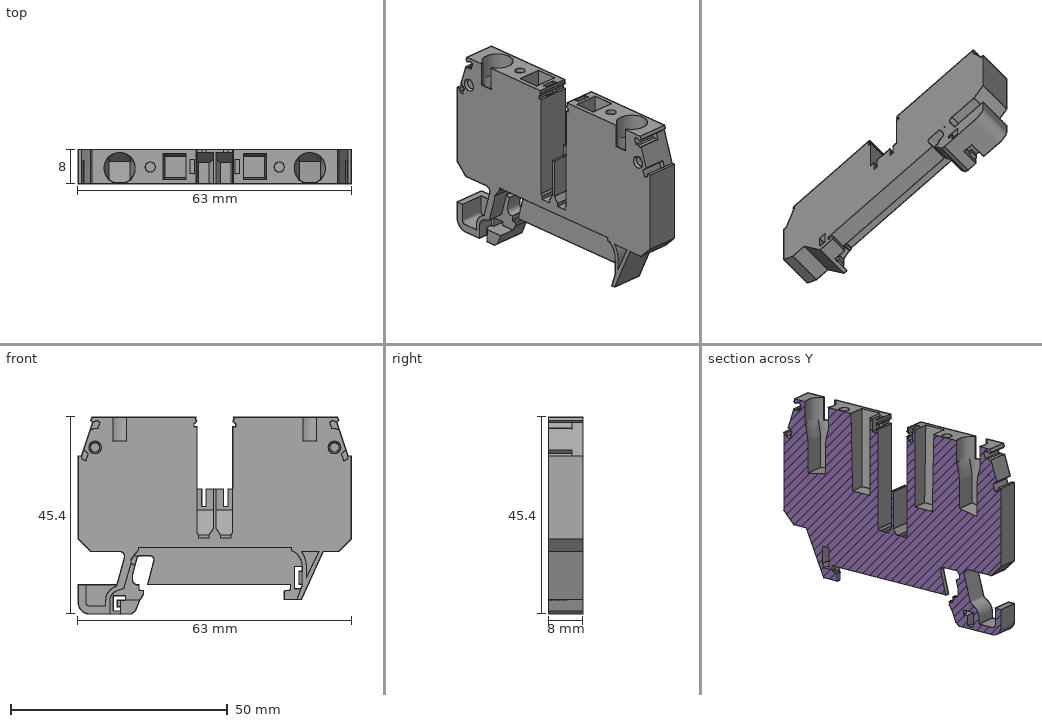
import cadquery as cq


LENGTH = 63.0
THICKNESS = 8.0
HEIGHT = 45.4
HALF = LENGTH / 2

HOUSING_BOTTOM = 14.4
RAIL_CEILING = 15.4
RAIL_HALF = 17.65
CORNER_CHAMFER = 2.9
SHOULDER_Z = 36.5
SHOULDER_X = 30.75
LIP_Z = 44.65
CEILING_STEP = 0.6

GAP_HALF = 4.1
GAP_FLOOR = 28.85
BACK_WALL = 0.7
SLIT_WIDTH = 0.95
SLIT_X = 2.5
SLIT_BOTTOM = 24.8

PARTITION_HALF = 0.3
POCKET_NECK_Z = 18.3
POCKET_FLOOR = 17.5
POCKET_INNER = 1.3
POCKET_OUTER = 3.8
POCKET_BACK = 5.0
SLOPE_TOP = 24.0

WIRE_X = 21.9
WIRE_Y = 3.65
WIRE_RADIUS = 3.6
WIRE_SHOULDER = 39.95
WIRE_WINDOW = 3.15
FUNNEL_BOTTOM = 35.9
FUNNEL_SIDE = 4.85
FUNNEL_FRONT = 0.4
FUNNEL_BACK = 5.15
WIRE_FLOOR = 29.0
WIRE_FLOOR_DROP = 0.9
SCREW_X = 14.85
SCREW_Y = 3.9
SCREW_DIAMETER = 2.3
SCREW_DEPTH = 1.1
TEST_TOP_X = (6.6, 11.9)
TEST_TOP_Y = (1.1, 7.0)
TEST_FLOOR_X = (6.6, 11.45)
TEST_FLOOR_Y = (1.5, 6.3)
TEST_DEPTH = 18.9
LABEL_X = (4.65, 5.75)
LABEL_Y = (2.4, 5.6)
LABEL_DEPTH = 3.15

LATCH_DEPTH = 5.4
DIMPLE_X = 27.6
DIMPLE_Z = 38.4
DIMPLE_RADIUS = 1.45
DIMPLE_FLOOR_RADIUS = 1.1
DIMPLE_DEPTH = 0.6

PLATE_Y = THICKNESS / 2
PLATE_BOTTOM = 6.8
FOOT_BACK_WALL = 1.9
FOOT_WALL = 1.75
FOOT_FLOOR = 1.9
FOOT_RADIUS = 2.7
FOOT_POCKET_RADIUS = 0.8
ARM_OUTER_X = -25.15
ARM_INNER_X = -24.2
ARM_UPRIGHT_TOP = 3.15
HOOK_BOTTOM = 3.35
RIGHT_ARM_X = 20.15
BLOCK_X = -21.75
BLOCK_TOP = 3.2
PLATE_SLOT_X = 18.4
PLATE_SLOT_Z = (5.85, 10.95)
FOOT_WINDOW_X = (-23.4, -20.6)
FOOT_WINDOW_Z = (0.75, 4.2)
RIGHT_WEDGE_Z = (6.85, 9.9)
LEFT_WEDGE_BOTTOM = 1.7
WEDGE_REACH = 0.75
WEDGE_Y = (0.1, 0.6, 2.25)


def start(x, z, y=0.0):
    """Begin an XZ outline on the plane at depth y."""
    return cq.Workplane("XZ", origin=(0, y, 0)).moveTo(x, z)


def polygon(points, y0=0.0, y1=THICKNESS):
    """Prism of a straight-sided XZ outline between depths y0 and y1."""
    return cq.Workplane("XZ", origin=(0, y0, 0)).polyline(points).close().extrude(y0 - y1)


def box(x0, x1, y0, y1, z0, z1):
    return cq.Workplane("XY").box(x1 - x0, y1 - y0, z1 - z0, centered=False).translate((x0, y0, z0))


def both_sides(shape):
    return shape.union(shape.mirror("YZ"))


def housing_half():
    """Right half of the full-thickness housing, tower included."""
    return polygon([
        (0, RAIL_CEILING), (RAIL_HALF, RAIL_CEILING),
        (RAIL_HALF, RAIL_CEILING - CEILING_STEP), (RAIL_HALF + 0.4, HOUSING_BOTTOM),
        (HALF - CORNER_CHAMFER, HOUSING_BOTTOM), (HALF, HOUSING_BOTTOM + CORNER_CHAMFER),
        (HALF, SHOULDER_Z), (SHOULDER_X, SHOULDER_Z),
        (28.15, 44.2), (28.6, LIP_Z), (28.3, HEIGHT),
        (4.35, HEIGHT), (4.35, 44.7), (GAP_HALF, 44.5),
        (4.8, 43.85), (4.8, 43.2), (GAP_HALF, 43.2),
        (GAP_HALF, GAP_FLOOR), (0, GAP_FLOOR),
    ])


def marker_pocket():
    """Pocket open to the front whose back slopes down to a narrow floor."""
    wall_y = THICKNESS - BACK_WALL
    upper = polygon([
        (PARTITION_HALF, GAP_FLOOR), (GAP_HALF, GAP_FLOOR), (GAP_HALF, 18.85),
        (POCKET_OUTER, POCKET_NECK_Z), (POCKET_INNER, POCKET_NECK_Z), (PARTITION_HALF, 19.8),
    ], 0, wall_y)
    slope = (cq.Workplane("YZ")
             .polyline([(wall_y, SLOPE_TOP), (wall_y, POCKET_NECK_Z), (POCKET_BACK, POCKET_NECK_Z)])
             .close().extrude(GAP_HALF))
    neck = box(POCKET_INNER, POCKET_OUTER, 0, POCKET_BACK, POCKET_FLOOR, POCKET_NECK_Z)
    slit_half = SLIT_WIDTH / 2
    slit = box(SLIT_X - slit_half, SLIT_X + slit_half, POCKET_BACK, THICKNESS, SLIT_BOTTOM, GAP_FLOOR)
    return upper.cut(slope).union(neck).union(slit)


def wire_entry():
    """Round mouth, funnel to a square shaft with a tilted floor, front window."""
    mouth = (cq.Workplane("XY", origin=(WIRE_X, WIRE_Y, WIRE_SHOULDER))
             .circle(WIRE_RADIUS).extrude(HEIGHT - WIRE_SHOULDER))
    window = box(WIRE_X - WIRE_WINDOW / 2, WIRE_X + WIRE_WINDOW / 2, 0, WIRE_Y, WIRE_SHOULDER, HEIGHT)
    shaft_y = (FUNNEL_FRONT + FUNNEL_BACK) / 2
    funnel = (cq.Workplane("XY", origin=(WIRE_X, WIRE_Y, WIRE_SHOULDER)).circle(WIRE_RADIUS)
              .workplane(offset=FUNNEL_BOTTOM - WIRE_SHOULDER).center(0, shaft_y - WIRE_Y)
              .rect(FUNNEL_SIDE, FUNNEL_BACK - FUNNEL_FRONT).loft(ruled=True))
    x0 = WIRE_X - FUNNEL_SIDE / 2
    x1 = WIRE_X + FUNNEL_SIDE / 2
    shaft = polygon([
        (x0, FUNNEL_BOTTOM), (x1, FUNNEL_BOTTOM), (x1, WIRE_FLOOR - WIRE_FLOOR_DROP), (x0, WIRE_FLOOR),
    ], FUNNEL_FRONT, FUNNEL_BACK)
    return mouth.union(window).union(funnel).union(shaft)


def test_socket():
    """Rectangular socket tapering toward its floor."""
    def middle(span):
        return (span[0] + span[1]) / 2

    def size(span):
        return span[1] - span[0]

    return (cq.Workplane("XY", origin=(middle(TEST_TOP_X), middle(TEST_TOP_Y), HEIGHT))
            .rect(size(TEST_TOP_X), size(TEST_TOP_Y))
            .workplane(offset=-TEST_DEPTH)
            .center(middle(TEST_FLOOR_X) - middle(TEST_TOP_X), middle(TEST_FLOOR_Y) - middle(TEST_TOP_Y))
            .rect(size(TEST_FLOOR_X), size(TEST_FLOOR_Y)).loft(ruled=True))


def screw_hole():
    return (cq.Workplane("XY", origin=(SCREW_X, SCREW_Y, HEIGHT))
            .circle(SCREW_DIAMETER / 2).extrude(-SCREW_DEPTH))


def label_slot():
    return box(*LABEL_X, *LABEL_Y, HEIGHT - LABEL_DEPTH, HEIGHT)


def latch_notches():
    """Two blind notches at the ends of the slanted tower side."""
    upper = polygon([
        (28.15, 44.2), (27.15, LIP_Z), (26.45, 44.2), (26.95, 42.85), (27.65, 42.85), (28.4, 42.5), (29.0, 43.5),
    ], 0, LATCH_DEPTH)
    lower = polygon([
        (30.1, 37.8), (29.2, 37.0), (29.75, 35.35), (30.55, 35.7),
        (SHOULDER_X, SHOULDER_Z), (SHOULDER_X, 37.8),
    ], 0, LATCH_DEPTH)
    return upper.union(lower)


def dimple():
    """Shallow conical recess in the front face."""
    cone = cq.Solid.makeCone(
        DIMPLE_RADIUS, DIMPLE_FLOOR_RADIUS, DIMPLE_DEPTH,
        cq.Vector(DIMPLE_X, 0, DIMPLE_Z), cq.Vector(0, 1, 0))
    return cq.Workplane(cone)


def rail_plate():
    """Rear plate joining the housing to the foot and carrying the right hook."""
    plate = (start(-15.5, PLATE_BOTTOM, PLATE_Y)
             .lineTo(17.45, PLATE_BOTTOM).lineTo(17.45, 5.75).lineTo(17.2, 5.5)
             .lineTo(16.3, 5.5).lineTo(16.0, 5.2).lineTo(16.0, HOOK_BOTTOM)
             .lineTo(18.95, HOOK_BOTTOM).lineTo(RIGHT_ARM_X, 6.8).lineTo(RIGHT_ARM_X, HOUSING_BOTTOM)
             .lineTo(RAIL_HALF, RAIL_CEILING).lineTo(-RAIL_HALF, RAIL_CEILING)
             .lineTo(-18.8, 13.4).lineTo(-14.85, 13.4)
             .threePointArc((-14.25, 13.1), (-14.1, 12.15))
             .close().extrude(PLATE_Y - THICKNESS))
    slot = box(PLATE_SLOT_X, RIGHT_ARM_X, PLATE_Y, THICKNESS, *PLATE_SLOT_Z)
    return plate.cut(slot)


def right_arm():
    """Full-thickness slanted strut with a curved inner side and a triangular recess."""
    arm = (start(RAIL_HALF, RAIL_CEILING - CEILING_STEP)
           .threePointArc((19.45, 13.2), (RIGHT_ARM_X, 10.95))
           .lineTo(RIGHT_ARM_X, 6.8).lineTo(18.95, HOOK_BOTTOM).lineTo(20.0, HOOK_BOTTOM)
           .lineTo(25.0, HOUSING_BOTTOM).lineTo(25.0, RAIL_CEILING - CEILING_STEP)
           .close().extrude(-THICKNESS))
    recess = (start(20.0, HOUSING_BOTTOM)
              .threePointArc((20.8, 12.9), (21.1, 11.15))
              .lineTo(21.1, 8.4).lineTo(24.0, HOUSING_BOTTOM)
              .close().extrude(-PLATE_Y))
    return arm.cut(recess)


def left_arm():
    """Full-thickness curved strut between the housing and the foot."""
    return (start(-21.7, RAIL_CEILING).lineTo(-21.7, HOUSING_BOTTOM)
            .threePointArc((-21.0, 13.85), (-20.9, 12.8))
            .lineTo(-22.55, 6.85)
            .threePointArc((-22.75, 6.5), (-23.1, 6.25))
            .threePointArc((-24.6, 5.05), (ARM_OUTER_X, ARM_UPRIGHT_TOP))
            .lineTo(ARM_OUTER_X, 0).lineTo(ARM_INNER_X, 0).lineTo(ARM_INNER_X, ARM_UPRIGHT_TOP)
            .threePointArc((-23.55, 4.7), (-22.35, 5.5)).lineTo(-21.0, 5.9)
            .lineTo(-19.3, 11.8).lineTo(-19.3, 12.6).lineTo(-18.6, 13.6)
            .lineTo(-RAIL_HALF, RAIL_CEILING - CEILING_STEP).lineTo(-RAIL_HALF, RAIL_CEILING)
            .close().extrude(-THICKNESS))


def foot_tray():
    """Open-topped tray at the far left of the foot."""
    tray = box(-HALF, ARM_INNER_X, 0, THICKNESS, 0, PLATE_BOTTOM)
    tray = tray.edges("|Y and <X and <Z").fillet(FOOT_RADIUS)
    pocket = box(-HALF + FOOT_WALL, ARM_INNER_X, 0, THICKNESS - FOOT_BACK_WALL, FOOT_FLOOR, PLATE_BOTTOM)
    pocket = pocket.edges("|Y and <X and <Z").fillet(FOOT_POCKET_RADIUS)
    return tray.cut(pocket)


def foot_plate():
    """Rear plate of the foot to the right of the tray, with its window."""
    plate = (start(-25.2, 0, PLATE_Y)
             .lineTo(-19.3, 0).lineTo(-18.3, 0.75).lineTo(-17.25, BLOCK_TOP)
             .lineTo(-16.4, 4.65).lineTo(-16.4, 5.5).lineTo(-17.2, 5.5).lineTo(-17.45, 5.75)
             .lineTo(-17.45, PLATE_BOTTOM)
             .threePointArc((-18.5, 7.05), (-18.95, 7.8))
             .lineTo(-18.95, 8.8).lineTo(-18.4, 11.15).lineTo(-19.3, 11.8)
             .lineTo(-21.0, 5.9).lineTo(-22.7, 5.7).lineTo(-24.6, 3.8).close().extrude(PLATE_Y - THICKNESS))
    window = box(*FOOT_WINDOW_X, PLATE_Y, THICKNESS, *FOOT_WINDOW_Z)
    gusset = (start(-19.5, 11.9, THICKNESS - FOOT_BACK_WALL)
              .lineTo(-18.4, 11.15).lineTo(-17.9, 13.0)
              .threePointArc((-17.7, 13.3), (-17.3, 13.4))
              .lineTo(-18.8, 13.75).close().extrude(-FOOT_BACK_WALL))
    back_wall = (start(-25.8, PLATE_BOTTOM, THICKNESS - FOOT_BACK_WALL)
                 .lineTo(-22.5, PLATE_BOTTOM)
                 .lineTo(-23.6, 4.2).lineTo(-25.8, 3.15).close().extrude(-FOOT_BACK_WALL))
    return plate.cut(window).union(gusset).union(back_wall)


def foot_block():
    """Full-thickness latch block in front of the foot plate."""
    return polygon([
        (BLOCK_X, 0), (-19.3, 0), (-18.3, 0.75), (-17.25, BLOCK_TOP), (BLOCK_X, BLOCK_TOP),
    ])


def latch_wedge(face_x, z0, z1):
    """Latch nose standing out toward -X from an upright face, with a ramped front."""
    ramp_start, ramp_end, back = WEDGE_Y
    tip_x = face_x - WEDGE_REACH
    return (cq.Workplane("XY", origin=(0, 0, z0))
            .polyline([(face_x, ramp_start), (tip_x, ramp_end), (tip_x, back), (face_x, back)])
            .close().extrude(z1 - z0))


housing = both_sides(housing_half())
tower_cuts = [
    marker_pocket(), wire_entry(), test_socket(), screw_hole(),
    label_slot(), latch_notches(), dimple(),
]
for cutter in tower_cuts:
    housing = housing.cut(both_sides(cutter))

result = housing
added_parts = [
    rail_plate(), right_arm(), left_arm(), foot_tray(), foot_plate(), foot_block(),
    latch_wedge(BLOCK_X, LEFT_WEDGE_BOTTOM, BLOCK_TOP), latch_wedge(RIGHT_ARM_X, *RIGHT_WEDGE_Z),
]
for piece in added_parts:
    result = result.union(piece)